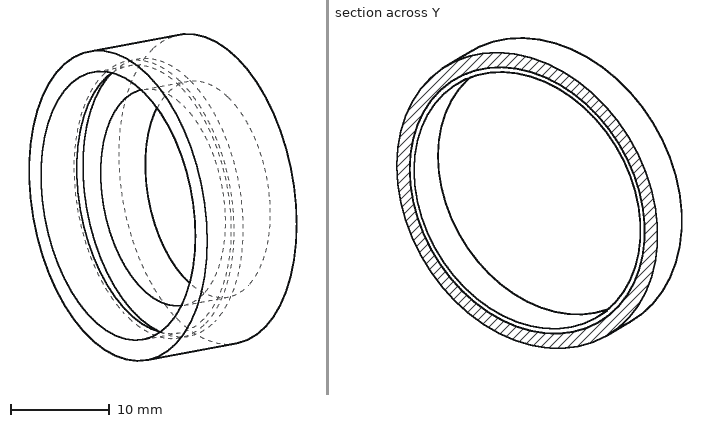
import cadquery as cq

outer_diameter = 31.75
ring_length = 11.0
bore_diameter = 22.2
counterbore_diameter = 27.5
counterbore_depth = 5.5
groove_radial_depth = 0.5
groove_width = 1.1

groove_diameter = counterbore_diameter + 2 * groove_radial_depth
front_y = -ring_length / 2
groove_start = counterbore_depth - groove_width


def cylinder(diameter, length, start_depth=0):
    """Cylinder about Y, running toward +Y from a depth below the front face."""
    start_plane = cq.Workplane("XZ", origin=(0, front_y + start_depth, 0))
    return start_plane.circle(diameter / 2).extrude(-length)


ring = cylinder(outer_diameter, ring_length)
bore = cylinder(bore_diameter, ring_length)
counterbore = cylinder(counterbore_diameter, counterbore_depth)
groove = cylinder(groove_diameter, groove_width, groove_start)

result = ring.cut(bore).cut(counterbore).cut(groove)